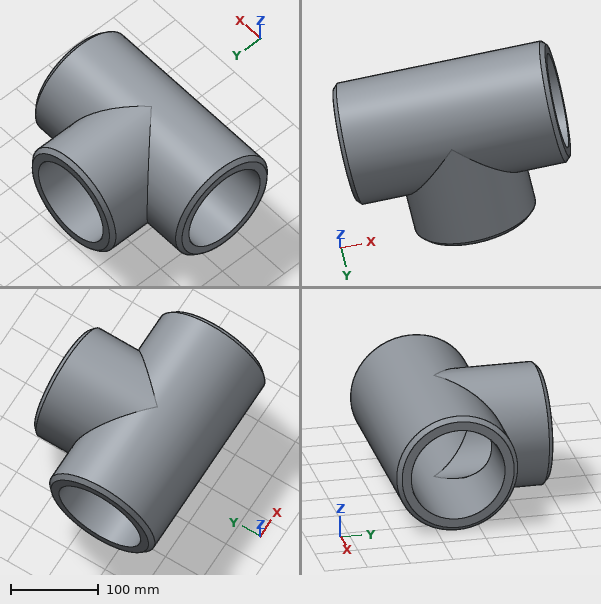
import cadquery as cq

run_length = 248.0
outer_diameter = 141.3
bore_diameter = 109.5
end_chamfer = 5.2
branch_reach = run_length / 2


def run_cylinder(diameter):
    """Full-length cylinder along X, centred on the origin."""
    return cq.Workplane("YZ").circle(diameter / 2).extrude(run_length / 2, both=True)


def branch_cylinder(diameter):
    """Cylinder along Y from the run axis to the branch end."""
    return cq.Workplane("XZ").circle(diameter / 2).extrude(-branch_reach)


run = run_cylinder(outer_diameter).faces("<X or >X").chamfer(end_chamfer)
branch = branch_cylinder(outer_diameter).faces(">Y").chamfer(end_chamfer)
body = run.union(branch)

result = body.cut(run_cylinder(bore_diameter)).cut(branch_cylinder(bore_diameter))